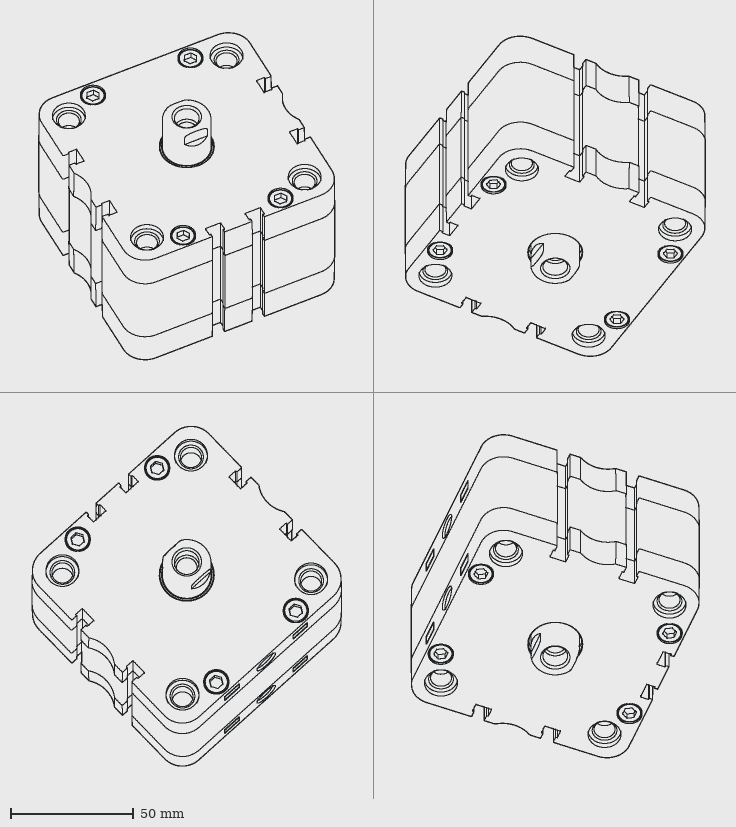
import cadquery as cq
import math

side = 95.5
corner_radius = 10.0
barrel_height = 34.0
cap_height = 15.0
cap_draft = 0.6
joint_z = barrel_height / 2
cap_end_z = joint_z + cap_height
half_side = side / 2

slot_mouth = 5.5
slot_width = 7.0
front_slot_offset = 15.2
front_slot_depth = 6.7
front_slot_lip = 3.0
front_slot_edge_radius = 0.4
slot_inner_x = front_slot_offset - slot_mouth / 2
slot_outer_x = front_slot_offset + slot_mouth / 2
side_slot_offset = 9.1
side_slot_depth = 5.3
side_slot_lip = 1.6

round_groove_radius = 13.4
round_groove_depth = 2.6
land_edge_radius = 0.8

mount_offset = 36.0
mount_counterbore_diameter = 13.5
mount_counterbore_depth = 2.7
mount_chamfer_diameter = 10.1
mount_hole_diameter = 8.6
mount_hole_depth = 11.5

screw_x = 41.5
screw_y = 22.25
screw_seat_diameter = 10.3
screw_head_diameter = 9.8
screw_gap_depth = 1.0
screw_head_drop = 0.4
screw_head_chamfer = 0.4
socket_flats = 5.0
socket_depth = 2.9

port_z = 24.1
port_mouth_diameter = 10.3
port_hole_diameter = 8.6
port_depth = 11.5
label_length = 8.0
label_height = 5.0
label_depth = 0.2
label_offset = 19.1
label_z = joint_z + cap_height / 2

rod_diameter = 20.0
rod_top_reach = 19.0
rod_bottom_reach = 9.0
rod_end_radius = 1.9
rod_flats = 17.0
rod_flat_length = 5.8
rod_hole_diameter = 8.4
rod_recess_diameter = 10.1
rod_recess_depth = 7.6
rod_mouth_diameter = 12.0
rod_top_z = cap_end_z + rod_top_reach
rod_bottom_z = -cap_end_z - rod_bottom_reach

wiper_seat_diameter = 21.9
wiper_seat_mouth_diameter = 22.5
wiper_seat_depth = 3.8
wiper_lip_diameter = 20.6
wiper_drop = 0.3
wiper_lip_height = 1.0


def cylinder(diameter, bottom_z, top_z):
    return cq.Workplane("XY").workplane(offset=bottom_z).circle(diameter / 2).extrude(top_z - bottom_z)


def revolved(points):
    """Solid of revolution about Z from (radius, z) points."""
    return cq.Workplane("XZ").polyline(points).close().revolve(360, (0, 0), (0, 1))


def cap_inset(z):
    """Distance that the draft has moved a cap side inwards at height z."""
    return math.tan(math.radians(cap_draft)) * (z - joint_z)


def at_four_corners(tool, x, y):
    tools = [tool.translate((sx * x, sy * y, 0)).val() for sx in (-1, 1) for sy in (-1, 1)]
    return cq.Workplane(cq.Compound.makeCompound(tools))


def t_slot(offset, depth, lip):
    """T-slot cutter opening towards +Y, running the whole height of the housing."""
    mouth = cq.Workplane("XY").box(slot_mouth, 2 * depth, 2 * cap_end_z)
    pocket_length = depth - lip
    pocket = cq.Workplane("XY").box(slot_width, pocket_length, 2 * cap_end_z)
    pocket = pocket.translate((0, -lip - pocket_length / 2, 0))
    return mouth.union(pocket).translate((offset, half_side, 0))


def cut_side_grooves(body):
    """Cut the slots and round grooves of the +Y, -Y and +X sides."""
    round_groove = cylinder(2 * round_groove_radius, -cap_end_z, cap_end_z)
    round_groove = round_groove.translate((0, half_side - round_groove_depth + round_groove_radius, 0))
    for turn in (0, 180):
        body = body.cut(round_groove.rotate((0, 0, 0), (0, 0, 1), turn))
        for offset in (-front_slot_offset, front_slot_offset):
            slot = t_slot(offset, front_slot_depth, front_slot_lip)
            body = body.cut(slot.rotate((0, 0, 0), (0, 0, 1), turn))
    for offset in (-side_slot_offset, side_slot_offset):
        slot = t_slot(offset, side_slot_depth, side_slot_lip)
        body = body.cut(slot.rotate((0, 0, 0), (0, 0, 1), -90))
    return body


def round_upright_edges(body, inner_x, outer_x, radius):
    """Round the upright edges of the +Y and -Y sides whose |x| is from inner_x to outer_x."""
    margin = 0.5
    for side_y in (-half_side, half_side):
        for sign in (-1, 1):
            corner_a = (sign * (inner_x - margin), side_y - margin, -cap_end_z)
            corner_b = (sign * (outer_x + margin), side_y + margin, cap_end_z)
            box = cq.selectors.BoxSelector(corner_a, corner_b)
            flat_edges = cq.selectors.PerpendicularDirSelector(cq.Vector(0, 0, 1))
            body = body.edges(box - flat_edges).fillet(radius)
    return body


def mounting_hole():
    floor_z = cap_end_z - mount_counterbore_depth
    hole_radius = mount_hole_diameter / 2
    chamfer_radius = mount_chamfer_diameter / 2
    counterbore_radius = mount_counterbore_diameter / 2
    bottom_z = cap_end_z - mount_hole_depth
    return revolved([
        (0, bottom_z),
        (hole_radius, bottom_z),
        (hole_radius, floor_z - (chamfer_radius - hole_radius)),
        (chamfer_radius, floor_z),
        (counterbore_radius, floor_z),
        (counterbore_radius, cap_end_z),
        (0, cap_end_z),
    ])


def screw_head_relief():
    """Material removed around, above and inside one screw head."""
    head_radius = screw_head_diameter / 2
    seat_radius = screw_seat_diameter / 2
    head_z = cap_end_z - screw_head_drop
    gap_z = cap_end_z - screw_gap_depth
    gap = revolved([
        (0, cap_end_z),
        (0, head_z),
        (head_radius - screw_head_chamfer, head_z),
        (head_radius, head_z - screw_head_chamfer),
        (head_radius, gap_z),
        (seat_radius, gap_z),
        (seat_radius, cap_end_z),
    ])
    socket = cq.Workplane("XY").workplane(offset=head_z - socket_depth)
    socket = socket.polygon(6, socket_flats / math.cos(math.pi / 6)).extrude(socket_depth)
    return gap.union(socket.rotate((0, 0, 0), (0, 0, 1), 30))


def air_port():
    mouth_radius = port_mouth_diameter / 2
    hole_radius = port_hole_diameter / 2
    port = revolved([
        (0, -hole_radius),
        (mouth_radius, -hole_radius),
        (mouth_radius, 0),
        (hole_radius, mouth_radius - hole_radius),
        (hole_radius, port_depth),
        (0, port_depth),
    ])
    port = port.rotate((0, 0, 0), (0, 1, 0), 90)
    return port.translate((cap_inset(port_z) - half_side, 0, port_z))


def wiper_seat():
    seat_radius = wiper_seat_diameter / 2
    mouth_radius = wiper_seat_mouth_diameter / 2
    floor_z = cap_end_z - wiper_seat_depth
    return revolved([
        (0, floor_z),
        (seat_radius, floor_z),
        (seat_radius, cap_end_z - (mouth_radius - seat_radius)),
        (mouth_radius, cap_end_z),
        (0, cap_end_z),
    ])


def make_cap():
    """End cap in its upper position."""
    outline = cq.Sketch().rect(side, side).vertices().fillet(corner_radius)
    cap = cq.Workplane("XY").workplane(offset=joint_z).placeSketch(outline)
    cap = cap.extrude(cap_height, taper=cap_draft)
    cap = cut_side_grooves(cap)
    cap = round_upright_edges(cap, slot_outer_x, slot_outer_x, front_slot_edge_radius)
    cap = cap.cut(at_four_corners(mounting_hole(), mount_offset, mount_offset))
    cap = cap.cut(at_four_corners(screw_head_relief(), screw_x, screw_y))
    cap = cap.cut(air_port())
    for y in (-label_offset, label_offset):
        label = cq.Workplane("XY").box(2 * label_depth, label_length, label_height)
        cap = cap.cut(label.translate((cap_inset(label_z) - half_side, y, label_z)))
    cap = cap.cut(wiper_seat())
    return cap.cut(cylinder(rod_diameter, joint_z, cap_end_z))


def make_barrel():
    barrel = cq.Workplane("XY").box(side, side, barrel_height).edges("|Z").fillet(corner_radius)
    barrel = cut_side_grooves(barrel)
    barrel = round_upright_edges(barrel, 0, slot_inner_x, land_edge_radius)
    barrel = round_upright_edges(barrel, slot_outer_x, slot_outer_x, front_slot_edge_radius)
    return barrel.cut(cylinder(rod_diameter, -joint_z, joint_z))


def rod_end_flat_cutter():
    """Removes the two wrench flats, with 45 degree shoulders, below the plane Z = 0."""
    flat_x = rod_flats / 2
    rod_radius = rod_diameter / 2
    run_out = rod_radius - flat_x
    profile = [
        (flat_x, 0),
        (flat_x, -rod_flat_length),
        (rod_radius, -rod_flat_length - run_out),
        (rod_radius, 0),
    ]
    one_side = cq.Workplane("XZ").polyline(profile).close().extrude(rod_radius, both=True)
    return one_side.union(one_side.mirror("YZ"))


def rod_end_recess():
    """Countersunk recess with a conical floor, below the plane Z = 0."""
    mouth_radius = rod_mouth_diameter / 2
    recess_radius = rod_recess_diameter / 2
    hole_radius = rod_hole_diameter / 2
    return revolved([
        (0, 0),
        (mouth_radius, 0),
        (recess_radius, recess_radius - mouth_radius),
        (recess_radius, -rod_recess_depth),
        (hole_radius, -rod_recess_depth - (recess_radius - hole_radius)),
        (0, -rod_recess_depth - (recess_radius - hole_radius)),
    ])


def make_rod():
    rod = cylinder(rod_diameter, rod_bottom_z, rod_top_z)
    rod = rod.faces("<Z or >Z").edges().fillet(rod_end_radius)
    rod = rod.cut(cylinder(rod_hole_diameter, rod_bottom_z, rod_top_z))
    end_cut = rod_end_flat_cutter().union(rod_end_recess())
    rod = rod.cut(end_cut.translate((0, 0, rod_top_z)))
    return rod.cut(end_cut.mirror("XY").translate((0, 0, rod_bottom_z)))


def make_wiper():
    inner_radius = rod_diameter / 2
    base_radius = wiper_seat_diameter / 2
    lip_radius = wiper_lip_diameter / 2
    floor_z = cap_end_z - wiper_seat_depth
    lip_z = cap_end_z - wiper_drop
    return revolved([
        (inner_radius, floor_z),
        (base_radius, floor_z),
        (base_radius, lip_z - wiper_lip_height),
        (lip_radius, lip_z),
        (inner_radius, lip_z),
    ])


barrel = make_barrel()
upper_cap = make_cap()
lower_cap = upper_cap.rotate((0, 0, 0), (1, 0, 0), 180)
rod = make_rod()
wiper = make_wiper()

result = cq.Compound.makeCompound([
    barrel.val(),
    upper_cap.val(),
    lower_cap.val(),
    rod.val(),
    wiper.val(),
])